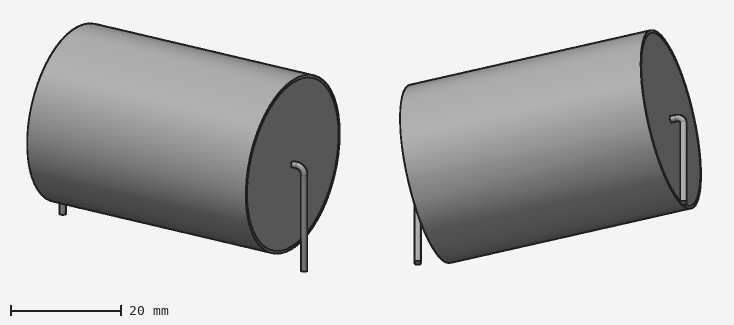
import cadquery as cq

overall_length = 52.0
body_length = 46.0
body_diameter = 33.0
sleeve_wall = 0.5
lead_diameter = 1.2
lead_bend_radius = 1.45
overall_height = 36.8

core_diameter = body_diameter - 2 * sleeve_wall
body_end_x = body_length / 2
lead_leg_x = (overall_length - lead_diameter) / 2
bend_start_x = lead_leg_x - lead_bend_radius
lead_tip_z = body_diameter / 2 - overall_height


def make_body_cylinder(diameter):
    """Cylinder along X with the full body length, centred on the origin."""
    return cq.Workplane("YZ", origin=(-body_end_x, 0, 0)).circle(diameter / 2).extrude(body_length)


def make_core():
    return make_body_cylinder(core_diameter)


def make_sleeve():
    """Thin tube around the core, flush with its end faces."""
    return make_body_cylinder(body_diameter).cut(make_body_cylinder(core_diameter))


def make_lead(side):
    """Wire leaving the core's end face (side: -1 or +1 along X) and bending down."""
    path = (
        cq.Workplane("XZ")
        .moveTo(side * body_end_x, 0)
        .lineTo(side * bend_start_x, 0)
        .tangentArcPoint((side * lead_leg_x, -lead_bend_radius), relative=False)
        .lineTo(side * lead_leg_x, lead_tip_z)
    )
    wire_section = cq.Workplane("YZ", origin=(side * body_end_x, 0, 0)).circle(lead_diameter / 2)
    return wire_section.sweep(path)


core = make_core()
sleeve = make_sleeve()
leads = [make_lead(side).val() for side in (-1, 1)]

result = cq.Compound.makeCompound([core.val(), sleeve.val(), *leads])